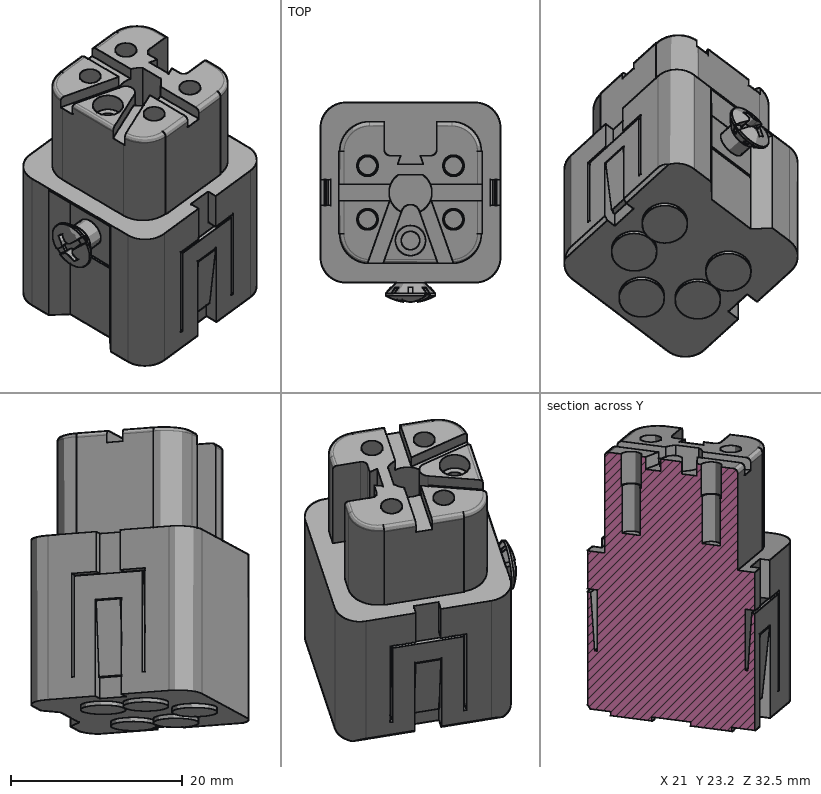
import cadquery as cq
import math

total_height = 32.5
body_bottom = 0.5
body_top = 20.02

overlap = 0.32

body_width = 21.0
body_half = body_width / 2
body_corner_radius = 3.0
bottom_chamfer_depth = 0.4
bottom_chamfer_height = 0.52

tower_width = 16.5
tower_half = tower_width / 2
tower_corner_radius = 3.48
tower_edge_radius = 0.5
tower_pad_thickness = 0.1
tower_height = total_height - body_top

key_slot_width = 1.95
key_slot_depth = 1.5
wedge_front_half_width = 3.2
wedge_angle = 19.5
diagonal_slot_width = 1.82
wedge_tip_radius = 1.07
center_hole_radius = 2.5
center_hole_flat = 2.05
back_notch_half_width = 3.05
back_notch_floor_y = 4.3
back_notch_radius = 0.7
dovetail_mouth_half_width = 1.15
dovetail_floor_half_width = 1.5
dovetail_floor_y = 3.3

contact_x = 5.0
contact_y = 3.12
contact_diameter = 2.47
contact_counterbore_depth = 3.9
earth_y = -5.6
earth_diameter = 3.5
earth_counterbore_depth = 2.15
inner_hole_diameter = 2.15
contact_hole_depth = 9.75

foot_radius = 2.63
foot_centers = [(-contact_x, 2.6), (contact_x, 2.6), (-contact_x, -2.7), (contact_x, -2.7), (0, 6.8)]

recess_depth = 1.8
recess_half_width = 3.05
recess_top = 19.75
recess_groove_bottom = 11.18
recess_groove_height = 0.32
recess_groove_depth = 0.98

latch_groove_depth = 1.2
latch_notch_width = 3.0
latch_groove_top = 15.28
latch_groove_bottom = 2.95
latch_groove_outer_width = 9.13
latch_groove_width = 0.32
tongue_tip_thickness = 0.45
tongue_root_thickness = 0.95
tongue_gap_bottom = 7.8
window_width = 3.25
window_top = 11.95
window_clearance = 0.13
lower_slot_depth = 1.55
finger_root_depth = 0.95

screw_z = 15.0
shank_radius = 1.7
head_radius = 2.9
head_tip_y = -12.8
head_dome_height = 0.78
head_rim_height = 0.3
driver_slot_width = 0.78
driver_slot_depth = 0.9
cross_width = 0.78
cross_length = 3.5
cross_depth = 1.25
cross_corner_radius = 0.65
head_rib_count = 8
head_rib_width = 0.5
head_rib_height = 0.1
head_rib_length = 0.7


def block(x_range, y_range, z_range):
    """Axis-aligned box between pairs of limits."""
    size = [limits[1] - limits[0] for limits in (x_range, y_range, z_range)]
    corner = (x_range[0], y_range[0], z_range[0])
    return cq.Workplane("XY").box(*size, centered=False).translate(corner)


def prism_up(points, bottom, height):
    """Vertical prism over a closed XY outline."""
    return cq.Workplane("XY").workplane(offset=bottom).polyline(points).close().extrude(height)


def make_body():
    body = (
        cq.Workplane("XY")
        .workplane(offset=body_bottom)
        .rect(body_width, body_width)
        .extrude(body_top - body_bottom)
        .edges("|Z")
        .fillet(body_corner_radius)
    )
    bevel = (
        cq.Workplane("XZ")
        .moveTo(-body_half, body_bottom)
        .lineTo(-body_half + bottom_chamfer_depth, body_bottom)
        .lineTo(-body_half, body_bottom + bottom_chamfer_height)
        .close()
        .extrude(body_half, both=True)
    )
    feet = (
        cq.Workplane("XY")
        .pushPoints(foot_centers)
        .circle(foot_radius)
        .extrude(body_bottom + overlap)
    )
    return body.cut(bevel).union(feet)


def make_tower():
    tower = (
        cq.Workplane("XY")
        .workplane(offset=body_top - overlap)
        .rect(tower_width, tower_width)
        .extrude(tower_height + overlap)
        .edges("|Z")
        .fillet(tower_corner_radius)
        .faces(">Z")
        .edges()
        .fillet(tower_edge_radius)
    )
    pads = (
        cq.Workplane("XY")
        .workplane(offset=body_top - overlap)
        .rect(tower_width + 2 * tower_pad_thickness, 2 * (tower_half - tower_corner_radius))
        .extrude(tower_height + overlap)
        .edges("|Y and >Z")
        .fillet(tower_edge_radius + tower_pad_thickness)
    )
    return tower.union(pads)


def center_hole():
    """Round well with a flat on its back side and the earth wedge's rounded tip left standing."""
    well = (
        cq.Workplane("XY")
        .workplane(offset=body_top)
        .circle(center_hole_radius)
        .extrude(tower_height)
    )
    behind_flat = block(
        (-center_hole_radius, center_hole_radius),
        (center_hole_flat, center_hole_radius),
        (body_top, total_height),
    )
    slope = math.radians(wedge_angle)
    wedge_apex_y = -tower_half + wedge_front_half_width / math.tan(slope)
    tip_center_y = wedge_apex_y - wedge_tip_radius / math.sin(slope)
    tangent_x = wedge_tip_radius * math.cos(slope)
    tangent_y = tip_center_y + wedge_tip_radius * math.sin(slope)
    wedge = (
        cq.Workplane("XY")
        .workplane(offset=body_top)
        .moveTo(-wedge_front_half_width, -tower_half)
        .lineTo(wedge_front_half_width, -tower_half)
        .lineTo(tangent_x, tangent_y)
        .threePointArc((0, tip_center_y + wedge_tip_radius), (-tangent_x, tangent_y))
        .close()
        .extrude(tower_height)
    )
    return well.cut(behind_flat).cut(wedge)


def key_slots():
    """Shallow slots in the tower top: one across X and two along the wedge flanks."""
    floor = total_height - key_slot_depth
    slots = block(
        (-body_half, body_half),
        (-key_slot_width / 2, key_slot_width / 2),
        (floor, total_height),
    )
    drift = tower_half * math.tan(math.radians(wedge_angle))
    inner_end = wedge_front_half_width - drift
    outer_front = wedge_front_half_width + diagonal_slot_width
    for side in (-1, 1):
        outline = [
            (side * wedge_front_half_width, -tower_half),
            (side * outer_front, -tower_half),
            (side * (inner_end + diagonal_slot_width), 0),
            (side * inner_end, 0),
        ]
        slots = slots.union(prism_up(outline, floor, key_slot_depth))
    return slots


def back_notch():
    """Rectangular notch with a dovetail groove in its floor, down to the body top."""
    notch = block(
        (-back_notch_half_width, back_notch_half_width),
        (back_notch_floor_y, body_half),
        (body_top, total_height),
    )
    notch = notch.edges("|Z and <Y").fillet(back_notch_radius)
    dovetail = prism_up(
        [
            (-dovetail_mouth_half_width, back_notch_floor_y),
            (dovetail_mouth_half_width, back_notch_floor_y),
            (dovetail_floor_half_width, dovetail_floor_y),
            (-dovetail_floor_half_width, dovetail_floor_y),
        ],
        body_top,
        tower_height,
    )
    return notch.union(dovetail)


def drill_contacts(part):
    corners = [(sx * contact_x, sy * contact_y) for sx in (-1, 1) for sy in (-1, 1)]
    top = cq.Workplane("XY").workplane(offset=total_height)
    centers = corners + [(0, earth_y)]
    holes = top.pushPoints(centers).circle(inner_hole_diameter / 2).extrude(-contact_hole_depth)
    sockets = top.pushPoints(corners).circle(contact_diameter / 2).extrude(-contact_counterbore_depth)
    earth = top.center(0, earth_y).circle(earth_diameter / 2).extrude(-earth_counterbore_depth)
    return part.cut(holes).cut(sockets).cut(earth)


def screw_recess():
    """Front recess with flanks and ceiling at 45 degrees, open at the bottom, with a cross groove."""
    floor_y = -body_half + recess_depth
    mouth_half_width = recess_half_width + recess_depth
    outline = [
        (-mouth_half_width, -body_half),
        (mouth_half_width, -body_half),
        (recess_half_width, floor_y),
        (-recess_half_width, floor_y),
    ]
    recess = prism_up(outline, 0, recess_top)
    above_ceiling = (
        cq.Workplane("YZ")
        .moveTo(-body_half, recess_top)
        .lineTo(floor_y, recess_top)
        .lineTo(floor_y, recess_top - recess_depth)
        .close()
        .extrude(mouth_half_width, both=True)
    )
    groove = block(
        (-recess_half_width, recess_half_width),
        (floor_y, floor_y + recess_groove_depth),
        (recess_groove_bottom, recess_groove_bottom + recess_groove_height),
    )
    return recess.cut(above_ceiling).union(groove)


def latch_cut():
    """Material removed around the spring latch in the -X face."""
    face_x = -body_half
    deep_x = face_x + latch_groove_depth

    def centered(width):
        return (-width / 2, width / 2)

    notch = block((face_x, deep_x), centered(latch_notch_width), (latch_groove_top, body_top))
    frame = block(
        (face_x, deep_x), centered(latch_groove_outer_width), (latch_groove_bottom, latch_groove_top)
    )
    tongue_top = latch_groove_top - latch_groove_width
    tongue_width = latch_groove_outer_width - 2 * latch_groove_width
    tongue = (
        cq.Workplane("XZ")
        .moveTo(face_x, latch_groove_bottom)
        .lineTo(deep_x, latch_groove_bottom)
        .lineTo(deep_x, tongue_gap_bottom)
        .lineTo(face_x + tongue_root_thickness, tongue_gap_bottom)
        .lineTo(face_x + tongue_tip_thickness, tongue_top)
        .lineTo(face_x, tongue_top)
        .close()
        .extrude(tongue_width / 2, both=True)
    )
    window = block((face_x, deep_x), centered(window_width), (latch_groove_bottom, window_top))
    finger_top = window_top - window_clearance
    finger = (
        cq.Workplane("XZ")
        .moveTo(face_x + finger_root_depth, latch_groove_bottom)
        .lineTo(face_x, finger_top)
        .lineTo(face_x + tongue_root_thickness, finger_top)
        .lineTo(deep_x, tongue_gap_bottom)
        .lineTo(deep_x, latch_groove_bottom)
        .close()
        .extrude(window_width / 2 - window_clearance, both=True)
    )
    lower_slot = block(
        (face_x, face_x + lower_slot_depth), centered(window_width), (body_bottom, latch_groove_bottom)
    )
    return notch.union(frame.cut(tongue)).union(window.cut(finger.intersect(tongue))).union(lower_slot)


def make_screw():
    """Raised countersunk screw along Y, with a slot and a cross recess turned 45 degrees."""
    rim_front_y = head_tip_y + head_dome_height
    rim_back_y = rim_front_y + head_rim_height
    neck_y = rim_back_y + head_radius - shank_radius
    shank_end_y = -body_half + recess_depth + overlap
    sphere_radius = (head_radius**2 + head_dome_height**2) / (2 * head_dome_height)
    mid_radius = head_radius / 2
    mid_y = head_tip_y + sphere_radius - math.sqrt(sphere_radius**2 - mid_radius**2)
    screw = (
        cq.Workplane("XY")
        .moveTo(0, head_tip_y)
        .threePointArc((mid_radius, mid_y), (head_radius, rim_front_y))
        .lineTo(head_radius, rim_back_y)
        .lineTo(shank_radius, neck_y)
        .lineTo(shank_radius, shank_end_y)
        .lineTo(0, shank_end_y)
        .close()
        .revolve(360, (0, 0), (0, 1))
    )
    rib_end_y = rim_back_y + head_rib_length
    rib = (
        cq.Workplane("XY")
        .moveTo(0, rim_back_y)
        .lineTo(head_radius, rim_back_y)
        .lineTo(head_radius - head_rib_length + head_rib_height, rib_end_y)
        .lineTo(0, rib_end_y)
        .close()
        .extrude(head_rib_width / 2, both=True)
    )
    for index in range(head_rib_count):
        screw = screw.union(rib.rotate((0, 0, 0), (0, 1, 0), index * 360 / head_rib_count))

    slot_floor_y = head_tip_y + driver_slot_depth
    slot = block(
        (-head_radius, head_radius),
        (head_tip_y, slot_floor_y),
        (-driver_slot_width / 2, driver_slot_width / 2),
    )
    arm = block(
        (-cross_length / 2, cross_length / 2),
        (head_tip_y, head_tip_y + cross_depth),
        (-cross_width / 2, cross_width / 2),
    )
    cross = arm.union(arm.rotate((0, 0, 0), (0, 1, 0), 90))
    inner_corners = cq.selectors.BoxSelector(
        (-cross_width, head_tip_y - overlap, -cross_width),
        (cross_width, head_tip_y + cross_depth + overlap, cross_width),
    )
    cross = cross.edges("|Y").edges(inner_corners).fillet(cross_corner_radius)
    drive = slot.union(cross).rotate((0, 0, 0), (0, 1, 0), -45)
    return screw.cut(drive).translate((0, 0, screw_z))


latch = latch_cut()
part = make_body().union(make_tower())
part = part.cut(center_hole()).cut(key_slots()).cut(back_notch())
part = drill_contacts(part)
part = part.cut(screw_recess()).cut(latch).cut(latch.mirror("YZ"))
result = part.union(make_screw())